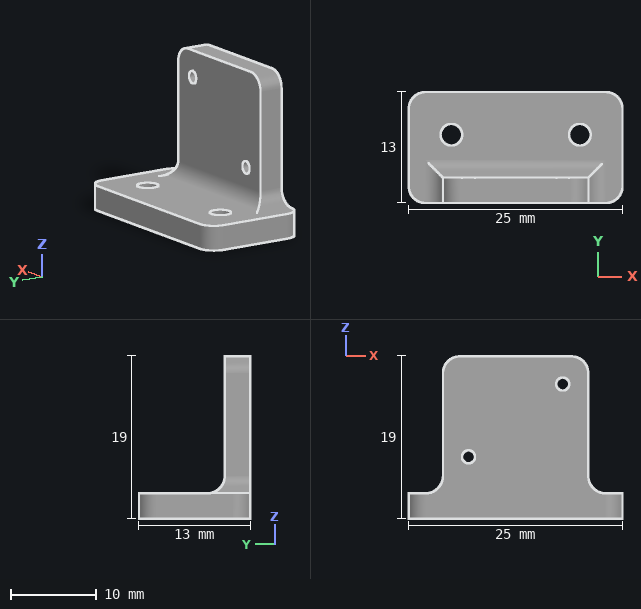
import cadquery as cq

base_length = 25
base_depth = 13
plate_thickness = 3
corner_radius = 2

wall_width = 17
total_height = 19
fillet_radius = 2

base_hole_diameter = 2.5
base_hole_spacing = 15
base_hole_y = 8
wall_hole_diameter = 1.5
wall_hole_offset = 5.5
lower_wall_hole_z = 7.25
upper_wall_hole_z = 15.75


def make_base():
    """Flat plate with rounded vertical corners."""
    return (
        cq.Workplane("XY")
        .box(base_length, base_depth, plate_thickness, centered=(True, False, False))
        .edges("|Z")
        .fillet(corner_radius)
    )


def make_wall():
    """Wall whose end and back fillets meet in mitres, as the overlap of two prisms."""
    half_width = wall_width / 2
    half_foot = half_width + fillet_radius
    foot_depth = plate_thickness + fillet_radius
    fillet_top = plate_thickness + fillet_radius

    width_prism = (
        cq.Workplane("XZ")
        .moveTo(-half_foot, 0)
        .lineTo(-half_foot, plate_thickness)
        .radiusArc((-half_width, fillet_top), -fillet_radius)
        .lineTo(-half_width, total_height)
        .lineTo(half_width, total_height)
        .lineTo(half_width, fillet_top)
        .radiusArc((half_foot, plate_thickness), -fillet_radius)
        .lineTo(half_foot, 0)
        .close()
        .extrude(-foot_depth)
        .edges("|Y and >Z")
        .fillet(corner_radius)
    )

    depth_prism = (
        cq.Workplane("YZ")
        .lineTo(0, total_height)
        .lineTo(plate_thickness, total_height)
        .lineTo(plate_thickness, fillet_top)
        .radiusArc((foot_depth, plate_thickness), -fillet_radius)
        .lineTo(foot_depth, 0)
        .close()
        .extrude(half_foot, both=True)
    )
    return width_prism.intersect(depth_prism)


def make_base_holes():
    """Vertical through holes in the base, behind the wall."""
    half_spacing = base_hole_spacing / 2
    return (
        cq.Workplane("XY")
        .pushPoints([(-half_spacing, base_hole_y), (half_spacing, base_hole_y)])
        .circle(base_hole_diameter / 2)
        .extrude(plate_thickness)
    )


def make_wall_holes():
    """Two diagonally placed through holes in the wall."""
    return (
        cq.Workplane("XZ")
        .pushPoints([(-wall_hole_offset, lower_wall_hole_z), (wall_hole_offset, upper_wall_hole_z)])
        .circle(wall_hole_diameter / 2)
        .extrude(-plate_thickness)
    )


result = make_base().union(make_wall()).cut(make_base_holes()).cut(make_wall_holes())